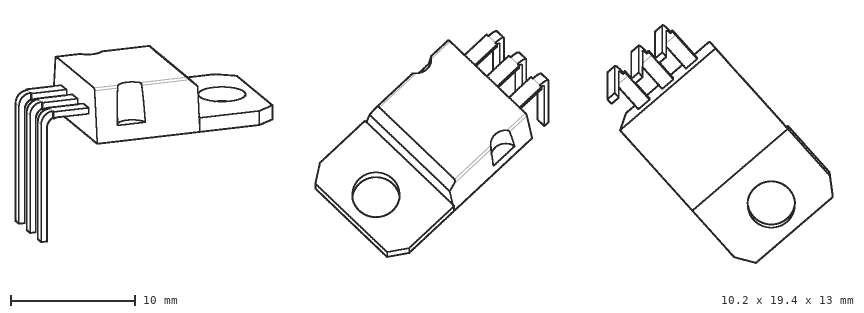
import cadquery as cq
import math


tab_width = 10.2
tab_length = 6.6
tab_thickness = 1.2
tab_corner_x = 1.0
tab_corner_y = 1.5
tab_hole_diameter = 3.8
tab_hole_to_end = 2.8

housing_base_width = tab_width
housing_length = 8.8
housing_height = 4.5
side_draft_angle = 8.0
rear_chamfer = 0.8
top_edge_radius = 0.2

notch_radius = 1.2
notch_floor_z = 1.3
notch_to_front = 3.0

lead_pitch = 2.54
lead_count = 3
lead_thickness = 0.5
lead_top_z = 2.45
lead_wide_width = 1.2
lead_narrow_width = 0.8
lead_wide_length = 3.0
lead_outer_radius = 1.0
lead_inner_radius = 0.85
lead_drop_below_base = 8.5

housing_front_y = -housing_length
draft_inset = housing_height * math.tan(math.radians(side_draft_angle))
base_half_width = housing_base_width / 2
top_half_width = base_half_width - draft_inset
lead_bottom_z = lead_top_z - lead_thickness
lead_bend_y = housing_front_y - lead_wide_length


def make_tab():
    """Flat plate with two clipped rear corners and a mounting hole."""
    half_width = tab_width / 2
    outline = [
        (-half_width, 0),
        (half_width, 0),
        (half_width, tab_length - tab_corner_y),
        (half_width - tab_corner_x, tab_length),
        (-half_width + tab_corner_x, tab_length),
        (-half_width, tab_length - tab_corner_y),
    ]
    plate = cq.Workplane("XY").polyline(outline).close().extrude(tab_thickness)
    hole = (
        cq.Workplane("XY")
        .center(0, tab_length - tab_hole_to_end)
        .circle(tab_hole_diameter / 2)
        .extrude(tab_thickness)
    )
    return plate.cut(hole)


def make_housing_block():
    """Block with drafted sides, rounded top side edges and a chamfered rear top edge."""
    section = [
        (-base_half_width, 0),
        (base_half_width, 0),
        (top_half_width, housing_height),
        (-top_half_width, housing_height),
    ]
    block = cq.Workplane("XZ").polyline(section).close().extrude(housing_length)
    block = block.faces(">Z").edges("|Y").fillet(top_edge_radius)
    chamfer_wedge = (
        cq.Workplane("YZ")
        .moveTo(0, housing_height)
        .lineTo(-rear_chamfer, housing_height)
        .lineTo(0, housing_height - rear_chamfer)
        .close()
        .extrude(base_half_width, both=True)
    )
    return block.cut(chamfer_wedge)


def make_notches():
    """Vertical round cutters, one centred on each lower side edge of the housing."""
    return (
        cq.Workplane("XY", origin=(0, housing_front_y + notch_to_front, notch_floor_z))
        .pushPoints([(-base_half_width, 0), (base_half_width, 0)])
        .circle(notch_radius)
        .extrude(housing_height - notch_floor_z)
    )


def make_lead_strip(x, width):
    """L-shaped strip of the given width, running out of the housing and bent straight down."""
    outer_y = lead_bend_y - lead_outer_radius
    inner_y = outer_y + lead_thickness
    strip = (
        cq.Workplane("YZ", origin=(x, 0, 0))
        .moveTo(housing_front_y, lead_top_z)
        .lineTo(outer_y, lead_top_z)
        .lineTo(outer_y, -lead_drop_below_base)
        .lineTo(inner_y, -lead_drop_below_base)
        .lineTo(inner_y, lead_bottom_z)
        .lineTo(housing_front_y, lead_bottom_z)
        .close()
        .extrude(width / 2, both=True)
    )
    outer_corner = cq.selectors.NearestToPointSelector((x, outer_y, lead_top_z))
    inner_corner = cq.selectors.NearestToPointSelector((x, inner_y, lead_bottom_z))
    strip = strip.edges(outer_corner).fillet(lead_outer_radius)
    return strip.edges(inner_corner).fillet(lead_inner_radius)


def make_lead(x):
    """One lead: wide from the housing to the bend, narrow through the bend and below."""
    shank_zone = cq.Workplane("XY", origin=(x, lead_bend_y, 0)).box(
        lead_wide_width, lead_wide_length, lead_top_z, centered=(True, False, False)
    )
    shank = make_lead_strip(x, lead_wide_width).intersect(shank_zone)
    return make_lead_strip(x, lead_narrow_width).union(shank)


def make_housing():
    """Moulded housing in one piece with its row of leads."""
    housing = make_housing_block().cut(make_notches())
    first_lead_x = -lead_pitch * (lead_count - 1) / 2
    for index in range(lead_count):
        housing = housing.union(make_lead(first_lead_x + index * lead_pitch))
    return housing


tab = make_tab()
housing = make_housing()

result = cq.Compound.makeCompound([tab.val(), *housing.vals()])